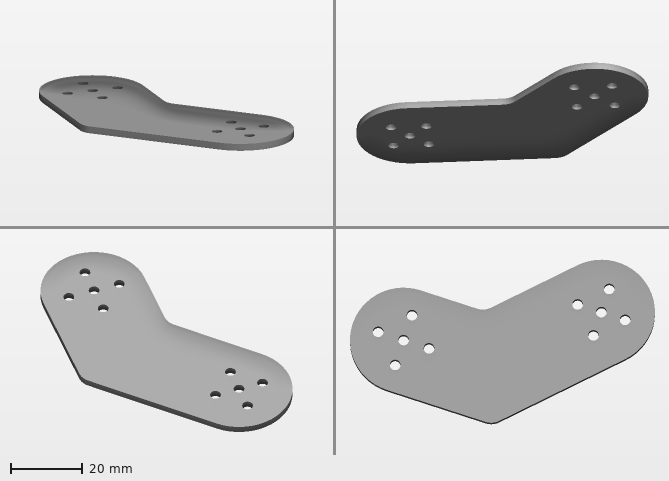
import cadquery as cq
import math

thickness = 2.0
end_radius = 15.0
bend_angle = 45.0
bend_fillet = 5.0

first_arm_length = 25.0
second_end_x = 50.0
second_end_y = (second_end_x - first_arm_length) * math.tan(math.radians(bend_angle))

hole_diameter = 3.0
first_hole_spacing = 7.5
second_hole_spacing = 7.0


def offset_from_second_end(direction_degrees):
    """Point on the second rounded end in the given direction from its centre."""
    angle = math.radians(direction_degrees)
    return (
        second_end_x + end_radius * math.cos(angle),
        second_end_y + end_radius * math.sin(angle),
    )


def make_plate():
    """Bent plate of constant width with rounded ends and filleted bend corners."""
    corner_shift = end_radius * math.tan(math.radians(bend_angle / 2))
    outer_corner = (first_arm_length + corner_shift, -end_radius)
    inner_corner = (first_arm_length - corner_shift, end_radius)

    outline = (
        cq.Workplane("XY")
        .moveTo(0, -end_radius)
        .lineTo(*outer_corner)
        .lineTo(*offset_from_second_end(bend_angle - 90))
        .threePointArc(offset_from_second_end(bend_angle), offset_from_second_end(bend_angle + 90))
        .lineTo(*inner_corner)
        .lineTo(0, end_radius)
        .threePointArc((-end_radius, 0), (0, -end_radius))
        .close()
    )
    plate = outline.extrude(thickness)

    for corner_x, corner_y in (outer_corner, inner_corner):
        corner_point = (corner_x, corner_y, thickness / 2)
        corner_edge = cq.selectors.NearestToPointSelector(corner_point)
        plate = plate.edges("|Z").edges(corner_edge).fillet(bend_fillet)
    return plate


def make_hole_cross(center_x, center_y, spacing):
    """Cutters for a centre hole and four holes along X and Y around it."""
    return (
        cq.Workplane("XY")
        .center(center_x, center_y)
        .pushPoints([(0, 0), (spacing, 0), (-spacing, 0), (0, spacing), (0, -spacing)])
        .circle(hole_diameter / 2)
        .extrude(thickness)
    )


result = (
    make_plate()
    .cut(make_hole_cross(0, 0, first_hole_spacing))
    .cut(make_hole_cross(second_end_x, second_end_y, second_hole_spacing))
)